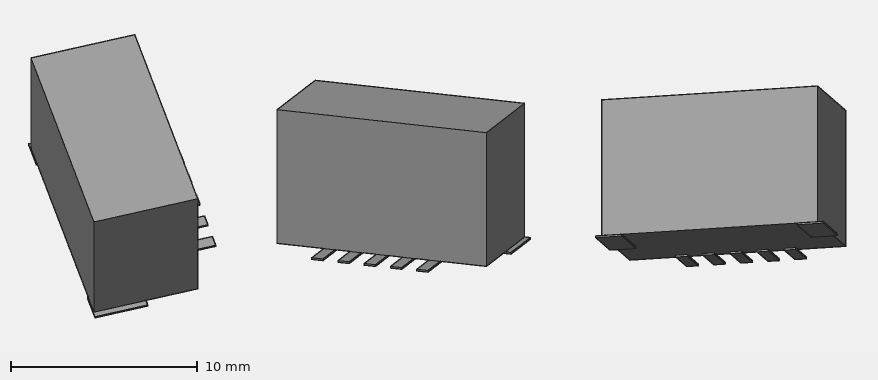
import cadquery as cq

total_width = 12.64
total_depth = 7.63
total_height = 7.6

sheet_thickness = 0.1
pin_count = 5
pin_pitch = 1.5
pin_width = 0.65
pin_length = 2.25
pin_overhang = 1.8
tab_width = 1.45
tab_length = 2.96
tab_overhang = 0.04

housing_width = 12.0
housing_depth = total_depth - pin_overhang - tab_overhang
housing_height = total_height - sheet_thickness

pin_rear_y = housing_depth + pin_overhang
tab_offset_x = (total_width - tab_width) / 2


def make_housing():
    """Plain block that rests on the pins and tabs."""
    return (
        cq.Workplane("XY")
        .box(housing_width, housing_depth, housing_height, centered=(True, False, False))
        .val()
    )


def make_strip(width, length, center_x, front_y):
    """Flat strip whose top face touches the housing underside."""
    return (
        cq.Workplane("XY")
        .box(width, length, sheet_thickness, centered=(True, False, False))
        .translate((center_x, front_y, -sheet_thickness))
        .val()
    )


def make_contact_pin(center_x):
    """Solder pin that runs out behind the housing."""
    return make_strip(pin_width, pin_length, center_x, pin_rear_y - pin_length)


def make_mounting_tab(center_x):
    """Solder tab at a front corner, reaching past the housing end."""
    return make_strip(tab_width, tab_length, center_x, -tab_overhang)


housing = make_housing()

contact_pins = []
for index in range(pin_count):
    pin_x = (index - (pin_count - 1) / 2) * pin_pitch
    contact_pins.append(make_contact_pin(pin_x))

mounting_tabs = []
for side in (-1, 1):
    mounting_tabs.append(make_mounting_tab(side * tab_offset_x))

result = cq.Compound.makeCompound([housing, *contact_pins, *mounting_tabs])